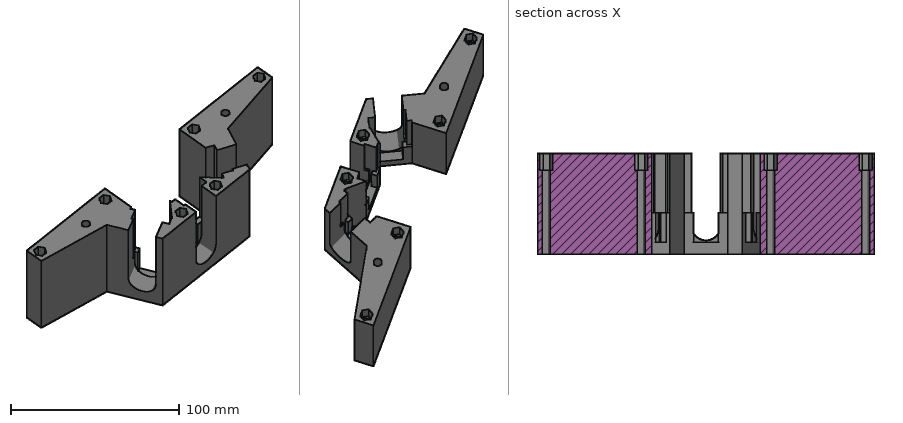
import cadquery as cq
import math

LENGTH = 200.0
DEPTH = 52.2
HEIGHT = 60.0
HALF_LENGTH = LENGTH / 2

SEAT_TILT = 65.0
SEAT_HALF_WIDTH = 12.8
CENTRE_FACE_X = 34.8
SIDE_FACE_X = 33.0
SIDE_FACE_Y = 26.8
SIDE_WALL = 18.0

WING_TIP_WIDTH = 12.0
KNEE_X = 20.5

PASSAGE_RADIUS = 8.5
PASSAGE_FLOOR = 8.5
PASSAGE_LENGTH = 40.0

SHELF_HEIGHT = 24.8
BOARD_DEPTH = 5.5
LEDGE_DEPTH = 1.5
LIP_DEPTH = 3.5
GROOVE_DEPTH = 8.5
GROOVE_EDGE = 9.8
POCKET_FLOOR = 7.2
WINDOW_HALF_WIDTH = 7.5
POCKET_END = 10.5

SCREW_DIAMETER = 4.5
NUT_ACROSS_FLATS = 6.5
NUT_DEPTH = 10.0
CENTRE_SCREW_X = 46.2
CENTRE_SCREW_Y = 14.8
WING_SCREW_X = 6.2
TIP_SCREW_INSET = 5.2
PIN_DIAMETER = 5.0
PIN_X = 11.0
PIN_Y = 60.5

tilt = math.radians(SEAT_TILT)
outward = (math.cos(tilt), math.sin(tilt))
along = (-math.sin(tilt), math.cos(tilt))


def side_face_point(offset):
    """Point on the +Y side seat's inner face, offset from its middle."""
    return (SIDE_FACE_X + offset * along[0], SIDE_FACE_Y + offset * along[1])


def side_back_y(x):
    """Y of the +Y side seat's outer wall at a given X."""
    back_x = SIDE_FACE_X + SIDE_WALL * outward[0]
    back_y = SIDE_FACE_Y + SIDE_WALL * outward[1]
    return back_y + (x - back_x) * along[1] / along[0]


seat_wing_end = side_face_point(SEAT_HALF_WIDTH)
seat_inner_end = side_face_point(-SEAT_HALF_WIDTH)
wing_inner_y = seat_wing_end[1]


def body():
    half = [
        (CENTRE_FACE_X, SEAT_HALF_WIDTH),
        seat_inner_end,
        seat_wing_end,
        (0, wing_inner_y),
        (0, HALF_LENGTH),
        (WING_TIP_WIDTH, HALF_LENGTH),
        (KNEE_X, side_back_y(KNEE_X)),
        (DEPTH, side_back_y(DEPTH)),
    ]
    mirrored = [(x, -y) for x, y in reversed(half)]
    return cq.Workplane("XY").polyline(half + mirrored).close().extrude(HEIGHT)


def block(depth_from, depth_to, y_from, y_to, floor):
    """Box open to the top, in the seat's own frame (inner face at X = 0)."""
    size = (depth_to - depth_from, y_to - y_from, HEIGHT - floor)
    return cq.Workplane("XY").box(*size, centered=False).translate((depth_from, y_from, floor))


def seat_cutter():
    """Everything removed at one seat: inner face at X = 0, outward is +X."""
    passage_axis = PASSAGE_FLOOR + PASSAGE_RADIUS
    bore = (
        cq.Workplane("YZ", origin=(BOARD_DEPTH, 0, passage_axis))
        .circle(PASSAGE_RADIUS).extrude(PASSAGE_LENGTH)
    )
    slot = block(BOARD_DEPTH, PASSAGE_LENGTH, -PASSAGE_RADIUS, PASSAGE_RADIUS, passage_axis)
    board = block(0, BOARD_DEPTH, -GROOVE_EDGE, SEAT_HALF_WIDTH, SHELF_HEIGHT)
    ledge = block(0, LEDGE_DEPTH, -SEAT_HALF_WIDTH, 0, SHELF_HEIGHT)
    groove = block(0, GROOVE_DEPTH, -GROOVE_EDGE, 0, SHELF_HEIGHT)
    window = block(0, BOARD_DEPTH, -WINDOW_HALF_WIDTH, WINDOW_HALF_WIDTH, POCKET_FLOOR)
    pocket = block(LIP_DEPTH, BOARD_DEPTH, -GROOVE_EDGE, POCKET_END, POCKET_FLOOR)
    return bore.union(slot).union(board).union(ledge).union(groove).union(window).union(pocket)


def place_seat(turn, x, y):
    return seat_cutter().rotate((0, 0, 0), (0, 0, 1), turn).translate((x, y, 0))


def screw_hole(x, y):
    """Through hole with a hexagonal nut trap sunk from the top, corners along Y."""
    nut_corners = NUT_ACROSS_FLATS / math.cos(math.pi / 6)
    nut = (
        cq.Workplane("XY").polygon(6, nut_corners).extrude(NUT_DEPTH)
        .rotate((0, 0, 0), (0, 0, 1), 90).translate((x, y, HEIGHT - NUT_DEPTH))
    )
    shank = cq.Workplane("XY").center(x, y).circle(SCREW_DIAMETER / 2).extrude(HEIGHT)
    return nut.union(shank)


def pin_hole(x, y):
    return cq.Workplane("XY").center(x, y).circle(PIN_DIAMETER / 2).extrude(HEIGHT)


result = body().cut(place_seat(0, CENTRE_FACE_X, 0))

for side in (1, -1):
    result = result.cut(place_seat(side * SEAT_TILT, SIDE_FACE_X, side * SIDE_FACE_Y))
    result = result.cut(screw_hole(CENTRE_SCREW_X, side * CENTRE_SCREW_Y))
    result = result.cut(screw_hole(WING_SCREW_X, side * (wing_inner_y + WING_SCREW_X)))
    result = result.cut(screw_hole(WING_SCREW_X, side * (HALF_LENGTH - TIP_SCREW_INSET)))
    result = result.cut(pin_hole(PIN_X, side * PIN_Y))